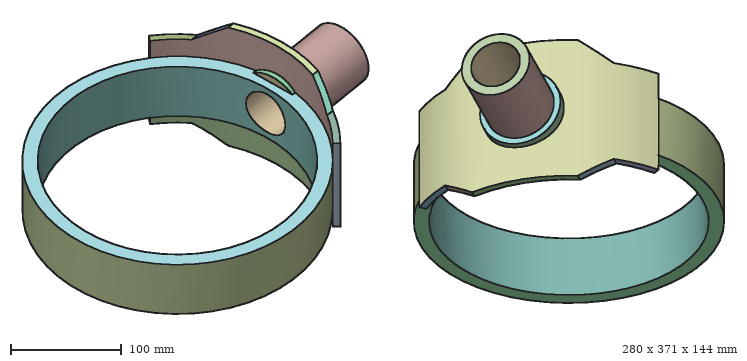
import cadquery as cq
import math

ring_diameter = 280.0
ring_inner_radius = 126.0
ring_height = 60.0
ring_radius = ring_diameter / 2

saddle_thickness = 7.0
saddle_half_angle = 50.0
saddle_height = 144.0
saddle_end_height = 101.5
crown_half_width = 49.7
shoulder_half_width = 79.5

overall_length = 371.0
stub_radius = 32.0
bore_radius = 23.0
collar_radius = 38.0
collar_start = 134.3
collar_end = 153.5
stub_end = overall_length - ring_radius


def cylinder_along_y(radius, start, end):
    """Solid cylinder on the Y axis from start to end."""
    plane = cq.Workplane("XZ", origin=(0, start, 0))
    return plane.circle(radius).extrude(start - end)


def make_ring():
    blank = cq.Workplane("XY").circle(ring_radius).circle(ring_inner_radius)
    return blank.extrude(ring_height / 2, both=True)


def make_saddle():
    outer_radius = ring_radius + saddle_thickness

    def arc_point(radius, angle):
        """Point at an angle measured from +Y towards +X."""
        return radius * math.sin(math.radians(angle)), radius * math.cos(math.radians(angle))

    band = (
        cq.Workplane("XY")
        .moveTo(*arc_point(ring_radius, -saddle_half_angle))
        .threePointArc((0, ring_radius), arc_point(ring_radius, saddle_half_angle))
        .lineTo(*arc_point(outer_radius, saddle_half_angle))
        .threePointArc((0, outer_radius), arc_point(outer_radius, -saddle_half_angle))
        .close()
        .extrude(saddle_height / 2, both=True)
    )

    top = saddle_height / 2
    end_top = saddle_end_height / 2
    upper_edge = [
        (-outer_radius, end_top),
        (-shoulder_half_width, end_top),
        (-crown_half_width, top),
        (crown_half_width, top),
        (shoulder_half_width, end_top),
        (outer_radius, end_top),
    ]
    lower_edge = [(x, -z) for x, z in reversed(upper_edge)]
    outline = cq.Workplane("XZ").polyline(upper_edge + lower_edge).close().extrude(-outer_radius)
    return band.intersect(outline)


collar = cylinder_along_y(collar_radius, collar_start, collar_end)
stub = cylinder_along_y(stub_radius, collar_start, stub_end)
bore = cylinder_along_y(bore_radius, 0, stub_end)

result = make_ring().union(make_saddle()).union(collar).union(stub).cut(bore)